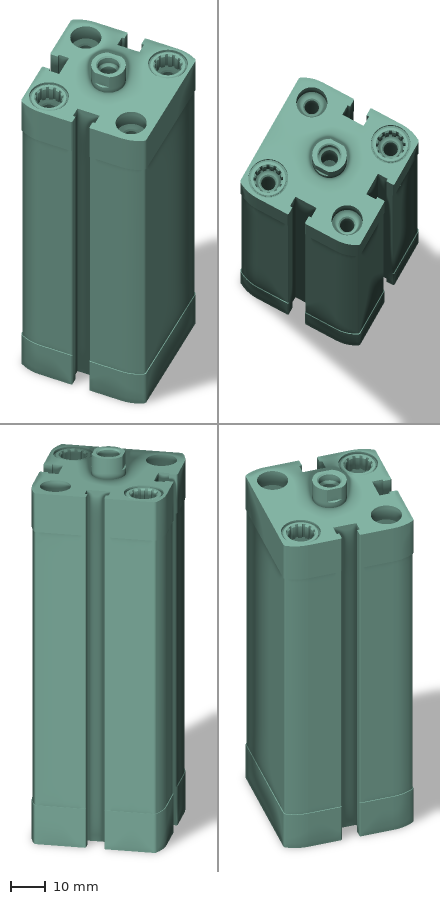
import cadquery as cq
import math

cap_width = 39.5
tube_inset = 0.25
body_length = 108.9
cap_length = 12.0
hole_offset = 13.0

corner_arc_radius = 12.5
corner_arc_center = hole_offset
corner_edge_fillet = 1.0

slot_mouth_width = 5.4
slot_mouth_depth = 2.5
slot_width = 7.0
slot_depth = 5.7
slot_lip_chamfer = 0.25
slot_angles = (0, -90, 180)

thread_core_diameter = 4.13
thread_diameter = 5.0
counterbore_diameter = 9.0
counterbore_depth = 5.0

head_recess_diameter = 11.5
head_diameter = 10.5
head_top_diameter = 10.0
head_chamfer = (head_diameter - head_top_diameter) / 2
head_recess_depth = 0.8
head_sink = 0.3
socket_diameter = 7.5
socket_root_diameter = 8.5
socket_groove_count = 12
socket_groove_width = 0.9
socket_depth = 5.0

rod_diameter = 10.0
rod_projection = 6.4
rod_length = 30.0
rod_flat_spacing = 9.0
rod_flat_length = 4.2
rod_ledge_slope = math.radians(30)
rod_mouth_diameter = 7.2
rod_counterbore_diameter = 6.4
rod_counterbore_depth = 2.5
rod_core_diameter = 4.92
rod_core_depth = 14.0
drill_point_half_angle = math.radians(59)

rod_top = body_length + rod_projection
rod_base = rod_top - rod_length


def revolved(*points):
    """Solid of revolution about Z from (radius, height) points."""
    return cq.Workplane("XZ").polyline(points).close().revolve(360, (0, 0, 0), (0, 1, 0))


def profile_bar(inset, base, length):
    """Square bar along Z with wide corner arcs running out into the X sides, inset from the caps."""
    half = cap_width / 2 - inset
    arc_radius = corner_arc_radius - inset
    reach = half - corner_arc_center
    arc_center_y = half - arc_radius
    edge_y = arc_center_y + math.sqrt(arc_radius**2 - reach**2)
    mid_angle = (math.pi / 2 + math.acos(reach / arc_radius)) / 2
    mid_x = corner_arc_center + arc_radius * math.cos(mid_angle)
    mid_y = arc_center_y + arc_radius * math.sin(mid_angle)
    bar = (
        cq.Workplane("XY", origin=(0, 0, base))
        .moveTo(-corner_arc_center, half)
        .lineTo(corner_arc_center, half)
        .threePointArc((mid_x, mid_y), (half, edge_y))
        .lineTo(half, -edge_y)
        .threePointArc((mid_x, -mid_y), (corner_arc_center, -half))
        .lineTo(-corner_arc_center, -half)
        .threePointArc((-mid_x, -mid_y), (-half, -edge_y))
        .lineTo(-half, edge_y)
        .threePointArc((-mid_x, mid_y), (-corner_arc_center, half))
        .close()
        .extrude(length)
    )
    return bar.edges("|Z and (<X or >X)").fillet(corner_edge_fillet - inset)


def slot(inset, base, length):
    """T slot along Z with chamfered lips, in the -Y side of a bar with this inset."""
    face = inset - cap_width / 2
    floor = slot_depth - cap_width / 2
    shoulder = slot_mouth_depth - cap_width / 2
    mouth = slot_mouth_width / 2
    inner = slot_width / 2
    flare = mouth + slot_lip_chamfer
    return (
        cq.Workplane("XY", origin=(0, 0, base))
        .moveTo(-flare, face)
        .lineTo(-mouth, face + slot_lip_chamfer)
        .lineTo(-mouth, shoulder)
        .lineTo(-inner, shoulder)
        .lineTo(-inner, floor)
        .lineTo(inner, floor)
        .lineTo(inner, shoulder)
        .lineTo(mouth, shoulder)
        .lineTo(mouth, face + slot_lip_chamfer)
        .lineTo(flare, face)
        .close()
        .extrude(length)
    )


def housing_section(inset, base, length):
    """One stretch of the housing with its three slots."""
    section = profile_bar(inset, base, length)
    for angle in slot_angles:
        section = section.cut(slot(inset, base, length).rotate((0, 0, 0), (0, 0, 1), angle))
    return section


def threaded_hole(top):
    """Thread core hole from the bottom of the housing, countersunk at the given height."""
    core = thread_core_diameter / 2
    mouth = thread_diameter / 2
    return revolved((0, 0), (core, 0), (core, top - (mouth - core)), (mouth, top), (0, top))


def counterbored_hole():
    floor = body_length - counterbore_depth
    counterbore = (
        cq.Workplane("XY", origin=(0, 0, floor)).circle(counterbore_diameter / 2).extrude(counterbore_depth)
    )
    return threaded_hole(floor).union(counterbore)


def screw_head_hole():
    """Everything removed around, inside and below one socket screw head."""
    head_top = body_length - head_sink
    recess_floor = body_length - head_recess_depth
    socket_floor = body_length - socket_depth
    crest = socket_diameter / 2
    root = socket_root_diameter / 2
    rim = revolved(
        (0, head_top),
        (head_top_diameter / 2, head_top),
        (head_diameter / 2, head_top - head_chamfer),
        (head_diameter / 2, recess_floor),
        (head_recess_diameter / 2, recess_floor),
        (head_recess_diameter / 2, body_length),
        (0, body_length),
    )
    socket = revolved(
        (0, socket_floor),
        (crest, socket_floor),
        (crest, head_top - (root - crest)),
        (root, head_top),
        (0, head_top),
    )
    height = head_top - socket_floor
    root_cylinder = cq.Workplane("XY", origin=(0, 0, socket_floor)).circle(root).extrude(height)
    for i in range(socket_groove_count // 2):
        groove_pair = (
            cq.Workplane("XY", origin=(0, 0, socket_floor))
            .rect(socket_root_diameter * 2, socket_groove_width)
            .extrude(height)
            .rotate((0, 0, 0), (0, 0, 1), i * 360 / socket_groove_count)
        )
        socket = socket.union(groove_pair.intersect(root_cylinder))
    return threaded_hole(socket_floor).union(socket).union(rim)


def rod_flat_cut():
    """Removes the rod's -Y flat down to a ledge that slopes away outwards."""
    flat_y = -rod_flat_spacing / 2
    outer_y = -rod_diameter
    ledge_z = rod_top - rod_flat_length
    outer_z = ledge_z - (flat_y - outer_y) * math.tan(rod_ledge_slope)
    return (
        cq.Workplane("YZ")
        .polyline([(flat_y, rod_top), (flat_y, ledge_z), (outer_y, outer_z), (outer_y, rod_top)])
        .close()
        .extrude(rod_diameter, both=True)
    )


def rod_bore():
    """Threaded bore with a counterbore, a chamfered mouth and a drill-point bottom."""
    mouth = rod_mouth_diameter / 2
    bore = rod_counterbore_diameter / 2
    core = rod_core_diameter / 2
    step_z = rod_top - rod_counterbore_depth
    drill_z = rod_top - rod_core_depth
    return revolved(
        (0, drill_z - core / math.tan(drill_point_half_angle)),
        (core, drill_z),
        (core, step_z - (bore - core)),
        (bore, step_z),
        (bore, rod_top - (mouth - bore)),
        (mouth, rod_top),
        (0, rod_top),
    )


def rod_blank():
    return cq.Workplane("XY", origin=(0, 0, rod_base)).circle(rod_diameter / 2).extrude(rod_length)


def build_housing():
    tube_length = body_length - 2 * cap_length
    body = housing_section(tube_inset, cap_length, tube_length)
    for base in (0, body_length - cap_length):
        body = body.union(housing_section(0, base, cap_length))
    for side in (1, -1):
        offset = side * hole_offset
        body = body.cut(screw_head_hole().translate((offset, offset, 0)))
        body = body.cut(counterbored_hole().translate((offset, -offset, 0)))
    return body.cut(rod_blank())


def build_piston_rod():
    rod = rod_blank().cut(rod_bore())
    for angle in (0, 180):
        rod = rod.cut(rod_flat_cut().rotate((0, 0, 0), (0, 0, 1), angle))
    return rod


housing = build_housing()
piston_rod = build_piston_rod()
result = cq.Compound.makeCompound([housing.val(), piston_rod.val()])